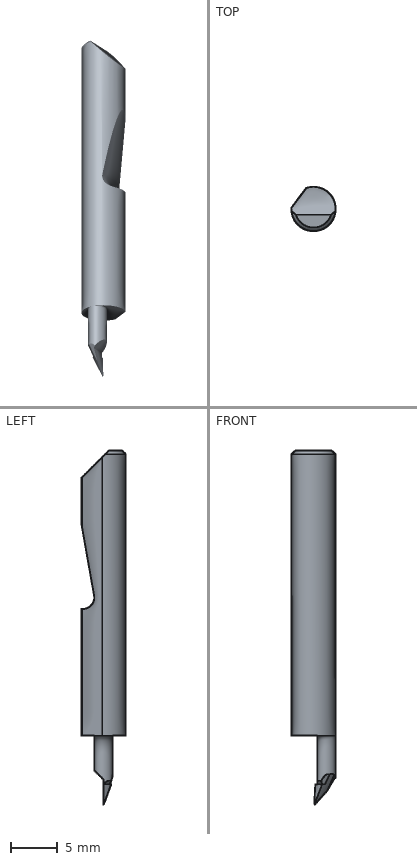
import cadquery as cq
import math


shank_radius = 2.38
shank_length = 30.5
top_chamfer = 0.4

flat_angle = 37.0
flat_distance = 1.97

bevel_start_y = -0.6

notch_ramp_angle = 10.0
notch_radius = 1.2
notch_center_y = 2.2
notch_center_z = 14.75

neck_radius = 1.0
neck_x = shank_radius - neck_radius

tip_x = 0.14
tip_z = -7.38
nose_x = 0.07
nose_z = -7.15
ledge_x = 0.18
ledge_z = -5.20
rake_ramp_z = -4.70
heel_x = 1.5
heel_z = -5.85
flank_angle = 41.5

clearance_normal = (0.51, -0.72, -0.46)
heel_normal = (0.82, -0.34, -0.47)
underside_normal = (-0.66, -0.54, -0.50)
front_normal = (0.18, -0.92, -0.36)
nose_normal = (-0.72, -0.64, -0.22)

underside_point = (0.63, -0.60, -4.88)
front_point = (1.10, -0.955, -4.42)

tool_size = 12.0


def trim(body, point, outward):
    """Remove everything beyond the plane through point that faces outward."""
    plane = cq.Plane(origin=point, normal=outward)
    block = cq.Workplane(plane).rect(tool_size, tool_size).extrude(tool_size)
    return body.cut(block)


def make_shank():
    body = cq.Workplane("XY").circle(shank_radius).extrude(shank_length)
    return body.faces(">Z").chamfer(top_chamfer)


def cut_flat(body):
    angle = math.radians(flat_angle)
    outward = (-math.cos(angle), math.sin(angle), 0)
    block = (
        cq.Workplane(cq.Plane(origin=(0, 0, 0), normal=outward, xDir=(0, 0, 1)))
        .workplane(offset=flat_distance)
        .rect(3 * shank_length, 2 * shank_radius)
        .extrude(shank_radius)
    )
    return body.cut(block)


def cut_notch(body):
    angle = math.radians(notch_ramp_angle)
    outer_y = 2 * shank_radius
    floor_z = notch_center_z - notch_radius
    ramp_y = notch_center_y - notch_radius * math.cos(angle)
    ramp_z = notch_center_z + notch_radius * math.sin(angle)
    ramp_top_z = ramp_z + (outer_y - ramp_y) / math.tan(angle)
    arc_start = 1.5 * math.pi
    arc_end = math.pi - angle
    middle = (arc_start + arc_end) / 2
    arc_middle = (
        notch_center_y + notch_radius * math.cos(middle),
        notch_center_z + notch_radius * math.sin(middle),
    )
    notch = (
        cq.Workplane("YZ")
        .moveTo(outer_y, floor_z)
        .lineTo(notch_center_y, floor_z)
        .threePointArc(arc_middle, (ramp_y, ramp_z))
        .lineTo(outer_y, ramp_top_z)
        .close()
        .extrude(shank_radius, both=True)
    )
    return body.cut(notch)


def trim_end(body):
    """Grind the clearance and the heel, which the neck and the tip share."""
    body = trim(body, (tip_x, 0, tip_z), clearance_normal)
    return trim(body, (heel_x, 0, heel_z), heel_normal)


def make_neck():
    body = (
        cq.Workplane("XY")
        .center(neck_x, 0)
        .circle(neck_radius)
        .extrude(ledge_z)
    )
    rake_ramp = (
        cq.Workplane("YZ")
        .moveTo(0, ledge_z)
        .lineTo(0, rake_ramp_z)
        .lineTo(2 * neck_radius, rake_ramp_z + 2 * neck_radius)
        .lineTo(2 * neck_radius, ledge_z)
        .close()
        .extrude(2 * shank_radius)
    )
    body = body.cut(rake_ramp)
    body = trim(body, underside_point, underside_normal)
    body = trim(body, front_point, front_normal)
    return trim_end(body)


def make_tip():
    """Wedge below the ledge, with its flat rake face on the plane Y = 0."""
    blank_x = -shank_radius / 2
    blank_width = shank_radius - blank_x
    blank_depth = 2 * neck_radius
    body = (
        cq.Workplane("XY", origin=(blank_x, 0, ledge_z))
        .rect(blank_width, -blank_depth, centered=False)
        .extrude(2 * (tip_z - ledge_z))
    )
    relief = math.radians(flank_angle)
    edge_slope = (ledge_x - nose_x) / (ledge_z - nose_z)
    flank_normal = (-math.cos(relief), -math.sin(relief), edge_slope * math.cos(relief))
    body = trim(body, (nose_x, 0, nose_z), flank_normal)
    body = trim(body, (tip_x, 0, tip_z), nose_normal)
    return trim_end(body)


shank = cut_notch(cut_flat(make_shank()))
shank = trim(shank, (0, bevel_start_y, shank_length), (0, 1, 1))
result = shank.union(make_neck()).union(make_tip())